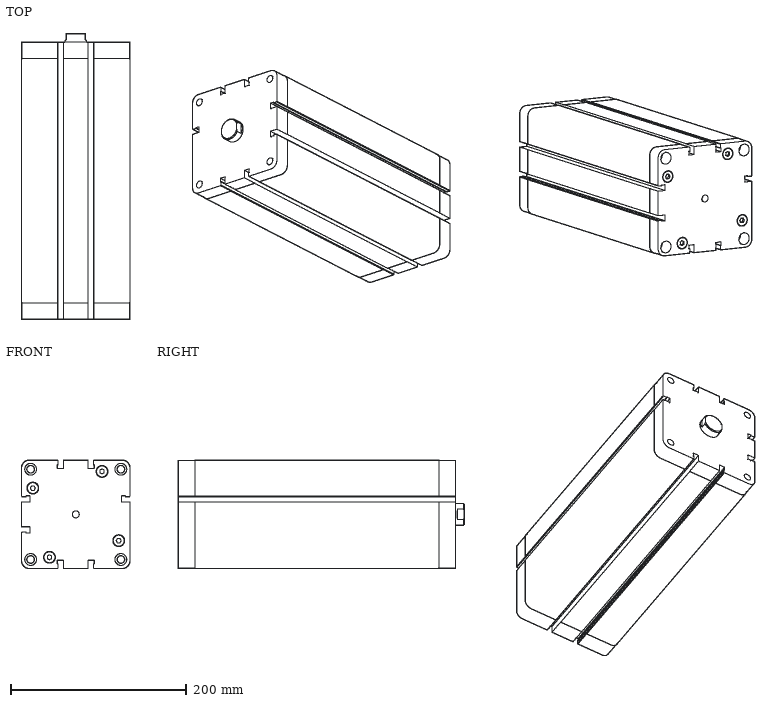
import cadquery as cq
import math

body_width = 124.0
total_length = 326.5
rod_projection = 10.0
housing_length = total_length - rod_projection
cap_length = 19.0
cap_inset = 0.3
corner_radius = 9.0

slot_inner_edge = 14.2
slot_mouth_width = 5.9
slot_mouth_bevel = 0.6
slot_floor_width = 6.8
slot_depth = 9.6
slot_lip_depth = 5.5

mount_offset = 51.5
mount_bore = 8.38
mount_counterbore = 13.5
mount_counterbore_depth = 20.0

screw_offset_long = 49.0
screw_offset_short = 30.0
screw_recess = 13.5
screw_head = 12.5
screw_recess_depth = 8.0
hex_across_flats = 5.0
hex_depth = 3.0

centre_hole = 8.0
centre_hole_depth = 12.0

rod_diameter = 25.0
rod_flat_width = 22.0
rod_flat_length = 7.5
rod_flat_runout = 1.0
rod_chamfer = 1.0


def front_plane(y):
    """Workplane at position y whose local axes are X and Z and whose normal is -Y."""
    return cq.Workplane("XZ", origin=(0, y, 0))


def square_bar(width, radius, y_start, y_end):
    bar = front_plane(y_start).rect(width, width).extrude(y_start - y_end)
    return bar.edges("|Y").fillet(radius)


def make_housing():
    cap_width = body_width - 2 * cap_inset
    cap_radius = corner_radius - cap_inset
    core = square_bar(cap_width, cap_radius, 0, housing_length)
    profile = square_bar(body_width, corner_radius, cap_length, housing_length - cap_length)
    return core.union(profile)


def slot_cutter(side, angle):
    """Slot in the +Z face on the given X side, turned about the Y axis by the angle."""
    half = body_width / 2
    inner = side * slot_inner_edge
    mouth = side * (slot_inner_edge + slot_mouth_width)
    bevel = mouth + side * slot_mouth_bevel
    floor = side * (slot_inner_edge + slot_floor_width)
    outline = [
        (inner, half),
        (bevel, half),
        (bevel, half - cap_inset),
        (mouth, half - cap_inset - slot_mouth_bevel),
        (mouth, half - slot_lip_depth),
        (floor, half - slot_lip_depth),
        (floor, half - slot_depth),
        (inner, half - slot_depth),
    ]
    cutter = front_plane(0).polyline(outline).close().extrude(-housing_length)
    return cutter.rotate((0, 0, 0), (0, 1, 0), angle)


def cut_slots(part):
    slots = [(1, 0), (-1, 0), (1, 180), (-1, 180), (1, 270), (-1, 270), (-1, 90)]
    for side, angle in slots:
        part = part.cut(slot_cutter(side, angle))
    return part


def cut_mounting_holes(part):
    pitch = 2 * mount_offset
    bores = front_plane(0).rect(pitch, pitch, forConstruction=True).vertices()
    bores = bores.circle(mount_bore / 2).extrude(-housing_length)
    recesses = front_plane(0).rect(pitch, pitch, forConstruction=True).vertices()
    recesses = recesses.circle(mount_counterbore / 2).extrude(-mount_counterbore_depth)
    return part.cut(bores).cut(recesses)


def cut_cap_screws(part):
    position = (screw_offset_short, screw_offset_long)
    gap = front_plane(0).center(*position).circle(screw_recess / 2).circle(screw_head / 2)
    gap = gap.extrude(-screw_recess_depth)
    hex_diameter = hex_across_flats / math.cos(math.pi / 6)
    socket = front_plane(0).center(*position).transformed(rotate=(0, 0, 90))
    socket = socket.polygon(6, hex_diameter).extrude(-hex_depth)
    for quarter in range(4):
        angle = 90 * quarter
        for cutter in (gap, socket):
            part = part.cut(cutter.rotate((0, 0, 0), (0, 1, 0), angle))
    return part


def cut_centre_hole(part):
    return part.cut(front_plane(0).circle(centre_hole / 2).extrude(-centre_hole_depth))


def make_rod_end():
    rod = front_plane(housing_length).circle(rod_diameter / 2).extrude(-rod_projection)
    rod = rod.faces(">Y").chamfer(rod_chamfer)
    rod_radius = rod_diameter / 2
    flat_offset = rod_flat_width / 2
    flat_end = total_length - rod_flat_length
    outline = [
        (flat_offset, total_length),
        (flat_offset, flat_end),
        (rod_radius, flat_end - rod_flat_runout),
        (rod_radius, total_length),
    ]
    flat = cq.Workplane("XY").polyline(outline).close().extrude(rod_radius, both=True)
    return rod.cut(flat).cut(flat.mirror("YZ"))


housing = make_housing()
housing = cut_slots(housing)
housing = cut_mounting_holes(housing)
housing = cut_cap_screws(housing)
housing = cut_centre_hole(housing)
result = housing.union(make_rod_end())